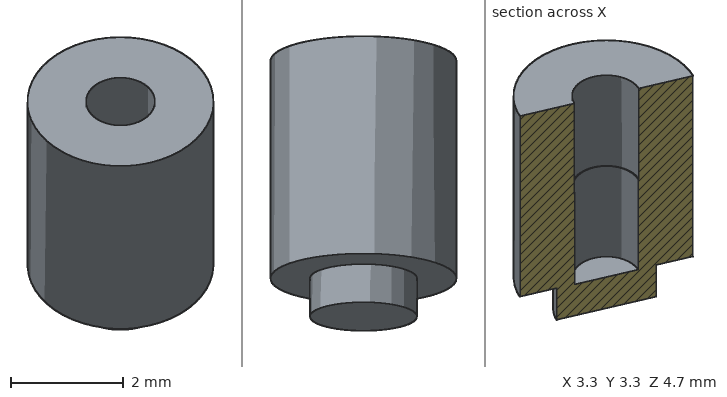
import cadquery as cq

total_height = 4.7
spigot_height = 0.7
body_height = total_height - spigot_height
body_diameter = 3.3
spigot_diameter = 1.9

upper_bore_diameter = 1.22
lower_bore_diameter = 1.2
bore_depth = body_height
upper_bore_depth = bore_depth / 2
lower_bore_depth = bore_depth - upper_bore_depth


def cylinder(diameter, bottom, height):
    """Upright cylinder on the Z axis, starting at the given level."""
    return cq.Workplane("XY").workplane(offset=bottom).circle(diameter / 2).extrude(height)


spigot = cylinder(spigot_diameter, 0, spigot_height)
body = cylinder(body_diameter, spigot_height, body_height)
upper_bore = cylinder(upper_bore_diameter, total_height - upper_bore_depth, upper_bore_depth)
lower_bore = cylinder(lower_bore_diameter, total_height - bore_depth, lower_bore_depth)

result = spigot.union(body).cut(upper_bore).cut(lower_bore)